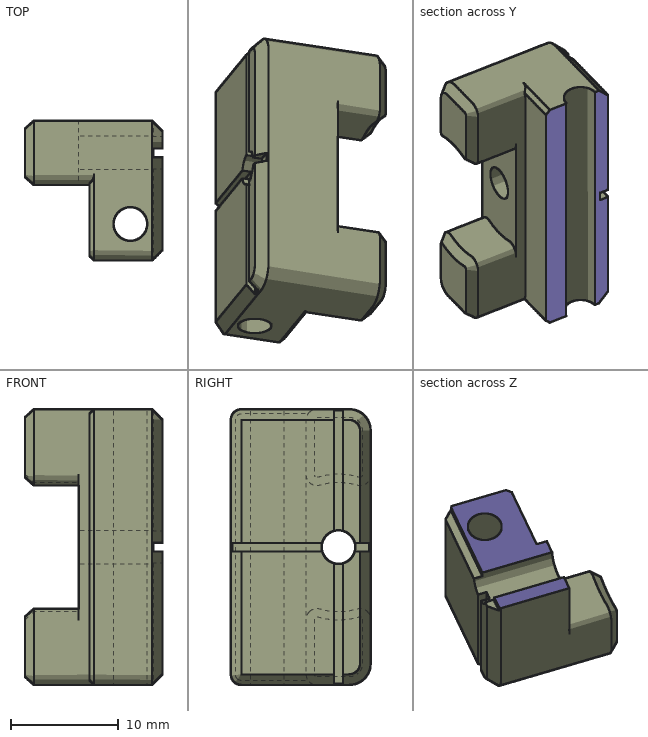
import cadquery as cq
import math

length_x = 12.8
depth_y = 13.0
height_z = 25.6
mid_z = height_z / 2

block_x = 6.0
jaw_thickness = 6.0
jaw_front_y = depth_y - jaw_thickness
jaw_mid_y = depth_y - jaw_thickness / 2
jaw_overlap = 1.0

back_radius = 2.0
front_radius = 1.0
right_chamfer = front_radius - 0.001
block_chamfer = 0.43
jaw_chamfer_length = 0.85
jaw_chamfer_inset = 0.77

gap_radius = 6.0
gap_depth = 5.0
gap_lip_radius = 1.0

hole_diameter = 3.1
vertical_hole_setback = 3.0
vertical_hole_x = length_x - vertical_hole_setback
vertical_hole_y = 3.4
groove_width = 0.8
groove_depth = 0.85


def rounded_bar(x_start, x_end, front_y):
    """Bar along X with large rounds on the back edges and small ones in front."""
    bar_depth = depth_y - front_y
    bar = cq.Workplane("XY").box(x_end - x_start, bar_depth, height_z, centered=False)
    bar = bar.translate((x_start, front_y, 0))
    bar = bar.edges("|X and >Y").fillet(back_radius)
    return bar.edges("|X and <Y").fillet(front_radius)


def main_block():
    block = rounded_bar(block_x, length_x, 0)
    block = block.faces(">X").chamfer(right_chamfer)
    return block.faces("<X").chamfer(block_chamfer)


def gap_cutter():
    """Round gap whose lips flare out to meet the front and back faces of the jaw."""
    lip_y = jaw_thickness / 2 - gap_lip_radius
    lip_centre_distance = gap_radius + gap_lip_radius
    lip_z = math.sqrt(lip_centre_distance**2 - lip_y**2)
    tangent_y = lip_y * gap_radius / lip_centre_distance
    tangent_z = lip_z * gap_radius / lip_centre_distance
    lip_middle_angle = math.atan2(lip_z, lip_y) / 2
    face_y = jaw_thickness / 2
    middle_y = lip_y + gap_lip_radius * math.cos(lip_middle_angle)
    middle_z = lip_z - gap_lip_radius * math.sin(lip_middle_angle)

    return (
        cq.Workplane("YZ", origin=(0, jaw_mid_y, mid_z))
        .moveTo(face_y, -lip_z)
        .lineTo(face_y, lip_z)
        .threePointArc((middle_y, middle_z), (tangent_y, tangent_z))
        .threePointArc((0, gap_radius), (-tangent_y, tangent_z))
        .threePointArc((-middle_y, middle_z), (-face_y, lip_z))
        .lineTo(-face_y, -lip_z)
        .threePointArc((-middle_y, -middle_z), (-tangent_y, -tangent_z))
        .threePointArc((0, -gap_radius), (tangent_y, -tangent_z))
        .threePointArc((middle_y, -middle_z), (face_y, -lip_z))
        .close()
        .extrude(gap_depth)
    )


def jaw():
    """Two prongs on either side of the gap, with chamfers all round their ends."""
    prongs = rounded_bar(0, block_x + jaw_overlap, jaw_front_y).cut(gap_cutter())
    return prongs.faces("<X").chamfer(jaw_chamfer_inset, jaw_chamfer_length)


def hole(plane, centre, travel):
    return cq.Workplane(plane, origin=centre).circle(hole_diameter / 2).extrude(travel)


def groove(size_y, size_z):
    """Groove in the +X face, centred on the cross hole."""
    cutter = cq.Workplane("XY").box(2 * groove_depth, size_y, size_z)
    return cutter.translate((length_x, jaw_mid_y, mid_z))


result = main_block().union(jaw())
result = result.cut(hole("XY", (vertical_hole_x, vertical_hole_y, 0), height_z))
result = result.cut(hole("YZ", (0, jaw_mid_y, mid_z), length_x))
result = result.cut(groove(2 * depth_y, groove_width))
result = result.cut(groove(groove_width, 2 * height_z))